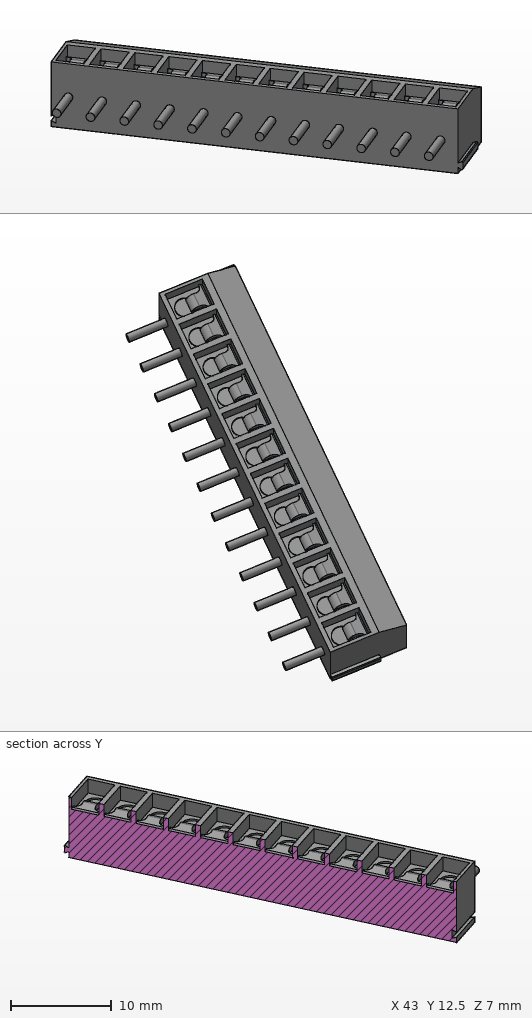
import cadquery as cq
import math

COS_45 = math.sqrt(0.5)

TERMINAL_COUNT = 12
PITCH = 3.5
END_MARGIN = 0.05
BODY_LENGTH = TERMINAL_COUNT * PITCH + 2 * END_MARGIN
BODY_DEPTH = 8.3
BODY_HEIGHT = 7.0
SLOPE_DEPTH = 3.0
SLOPE_DROP = 1.05
SLOPE_START = BODY_DEPTH - SLOPE_DEPTH

PIN_DIAMETER = 0.9
PIN_LENGTH = 4.2
PIN_Z = 3.4

POCKET_WIDTH = 2.9
POCKET_FRONT = 0.5
POCKET_BACK = 4.55
POCKET_DEPTH = 1.6
FLOOR_Z = BODY_HEIGHT - POCKET_DEPTH
ENTRY_DIAMETER = 2.0
ENTRY_Y = 2.0
ENTRY_DEPTH = 0.2

SPRING_WIDTH = 1.45
SPRING_CREST_Y = 3.27
SPRING_CREST_RISE = 0.65
SPRING_TOE_RISE = 0.12
SPRING_HEEL_RISE = 0.4
SPRING_TOE_LENGTH = 0.2
SPRING_BEND_RADIUS = SPRING_CREST_RISE + ENTRY_DEPTH
SPRING_HEAD_LENGTH = 0.4
SPRING_FLARE_RADIUS = 0.62

RIB_Z = 5.1
RIB_REACH = 0.4
RIB_NECK = 0.5
RIB_WIDEST = 0.84
RIB_WIDEST_REACH = 0.3
RIB_TIP = 0.7
TAB_Z = 0.9
TAB_REACH = 0.5
TAB_NECK = 0.52
TAB_WIDEST = 0.9
TAB_WIDEST_REACH = 0.4
TAB_TIP = 0.7
GROOVE_DEPTH = 0.5


def prism_along_x(points, x_start, width):
    """Extrude a closed (Y, Z) outline along +X."""
    return cq.Workplane("YZ", origin=(x_start, 0, 0)).polyline(points).close().extrude(width)


def prism_along_y(points, y_start, y_end):
    """Extrude a closed (X, Z) outline from y_start to y_end."""
    plane = cq.Workplane("XZ", origin=(0, y_start, 0))
    return plane.polyline(points).close().extrude(y_start - y_end)


def dovetail(face_x, direction, centre_z, stations, y_start, y_end):
    """Symmetric bar leaving an end face; stations are (reach, full height) pairs."""
    upper = [(face_x + direction * reach, centre_z + height / 2) for reach, height in stations]
    lower = [(face_x + direction * reach, centre_z - height / 2) for reach, height in stations]
    return prism_along_y(upper + lower[::-1], y_start, y_end)


def housing():
    outline = [
        (0, 0),
        (BODY_DEPTH, 0),
        (BODY_DEPTH, BODY_HEIGHT - SLOPE_DROP),
        (SLOPE_START, BODY_HEIGHT),
        (0, BODY_HEIGHT),
    ]
    return prism_along_x(outline, 0, BODY_LENGTH)


def pocket(x):
    """Rectangular pocket with the round wire entry sunk in its floor."""
    length = POCKET_BACK - POCKET_FRONT
    recess = (
        cq.Workplane("XY", origin=(x, (POCKET_FRONT + POCKET_BACK) / 2, FLOOR_Z))
        .rect(POCKET_WIDTH, length)
        .extrude(POCKET_DEPTH)
    )
    entry = (
        cq.Workplane("XY", origin=(x, ENTRY_Y, FLOOR_Z - ENTRY_DEPTH))
        .circle(ENTRY_DIAMETER / 2)
        .extrude(ENTRY_DEPTH)
    )
    return recess.union(entry)


def spring_side_profile(x):
    """Spring seen along X: steep toe, gentle climb, quarter bend down into the entry."""
    bottom_z = FLOOR_Z - ENTRY_DEPTH
    bend_mid = SPRING_BEND_RADIUS * COS_45
    return (
        cq.Workplane("YZ", origin=(x - POCKET_WIDTH / 2, 0, 0))
        .moveTo(POCKET_BACK, bottom_z)
        .lineTo(POCKET_BACK, FLOOR_Z + SPRING_TOE_RISE)
        .lineTo(POCKET_BACK - SPRING_TOE_LENGTH, FLOOR_Z + SPRING_HEEL_RISE)
        .lineTo(SPRING_CREST_Y, FLOOR_Z + SPRING_CREST_RISE)
        .threePointArc(
            (SPRING_CREST_Y - bend_mid, bottom_z + bend_mid),
            (SPRING_CREST_Y - SPRING_BEND_RADIUS, bottom_z),
        )
        .close()
        .extrude(POCKET_WIDTH)
    )


def spring_plan(x):
    """Spring seen along Z: full-width head flaring into a narrow neck."""
    neck = SPRING_WIDTH / 2
    flare_edge = neck + SPRING_FLARE_RADIUS
    head = POCKET_WIDTH / 2
    head_y = POCKET_BACK - SPRING_HEAD_LENGTH
    neck_y = head_y - SPRING_FLARE_RADIUS
    flare_mid = SPRING_FLARE_RADIUS * (1 - COS_45)
    return (
        cq.Workplane("XY", origin=(x, 0, FLOOR_Z - ENTRY_DEPTH))
        .moveTo(-head, POCKET_BACK)
        .lineTo(-head, head_y)
        .lineTo(-flare_edge, head_y)
        .threePointArc((-neck - flare_mid, head_y - flare_mid), (-neck, neck_y))
        .lineTo(-neck, POCKET_FRONT)
        .lineTo(neck, POCKET_FRONT)
        .lineTo(neck, neck_y)
        .threePointArc((neck + flare_mid, head_y - flare_mid), (flare_edge, head_y))
        .lineTo(head, head_y)
        .lineTo(head, POCKET_BACK)
        .close()
        .extrude(POCKET_DEPTH + ENTRY_DEPTH)
    )


def spring(x):
    return spring_side_profile(x).intersect(spring_plan(x))


def pin(x):
    return (
        cq.Workplane("XZ", origin=(x, 0, PIN_Z))
        .circle(PIN_DIAMETER / 2)
        .extrude(PIN_LENGTH)
    )


rib = dovetail(
    0,
    -1,
    RIB_Z,
    [(0, RIB_NECK), (RIB_WIDEST_REACH, RIB_WIDEST), (RIB_REACH, RIB_TIP)],
    SLOPE_START,
    BODY_DEPTH,
)
tab = dovetail(
    BODY_LENGTH,
    1,
    TAB_Z,
    [(0, TAB_NECK), (TAB_WIDEST_REACH, TAB_WIDEST), (TAB_REACH, TAB_TIP)],
    0,
    SLOPE_START,
)
groove = dovetail(0, 1, TAB_Z, [(0, TAB_NECK), (GROOVE_DEPTH, TAB_WIDEST)], 0, SLOPE_START)

result = housing().union(rib).union(tab).cut(groove)
for index in range(TERMINAL_COUNT):
    terminal_x = END_MARGIN + (index + 0.5) * PITCH
    result = result.cut(pocket(terminal_x)).union(spring(terminal_x)).union(pin(terminal_x))